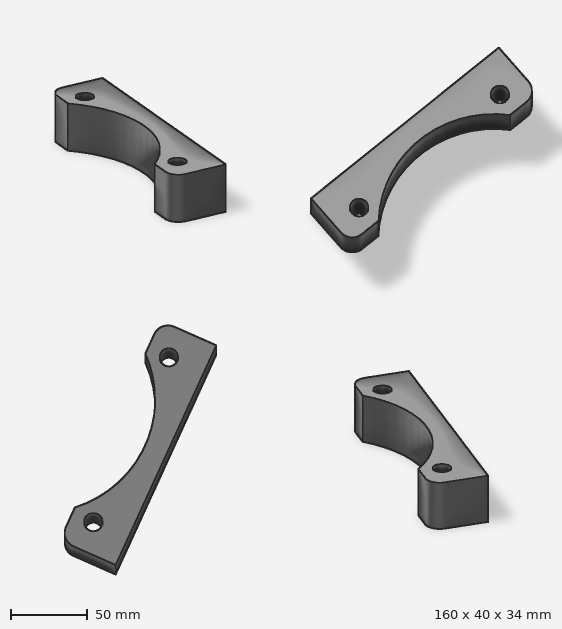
import cadquery as cq

length = 160.0
depth = 40.0
height = 34.0
corner_radius = 10.0

saddle_radius = 75.5
saddle_depth = 25.0

hole_diameter = 12.0
hole_end_distance = 20.0
hole_front_distance = 15.0


def make_block():
    """Rectangular block with its two front vertical edges rounded."""
    block = cq.Workplane("XY").box(length, depth, height, centered=(True, False, False))
    return block.edges("|Z and <Y").fillet(corner_radius)


def make_saddle():
    """Cylinder whose axis lies in front of the block."""
    axis_y = saddle_depth - saddle_radius
    return cq.Workplane("XY").center(0, axis_y).circle(saddle_radius).extrude(height)


def make_holes():
    """Two through-hole cylinders, mirrored about the middle of the block."""
    hole_x = length / 2 - hole_end_distance
    centres = [(side * hole_x, hole_front_distance) for side in (-1, 1)]
    return cq.Workplane("XY").pushPoints(centres).circle(hole_diameter / 2).extrude(height)


result = make_block().cut(make_saddle()).cut(make_holes())